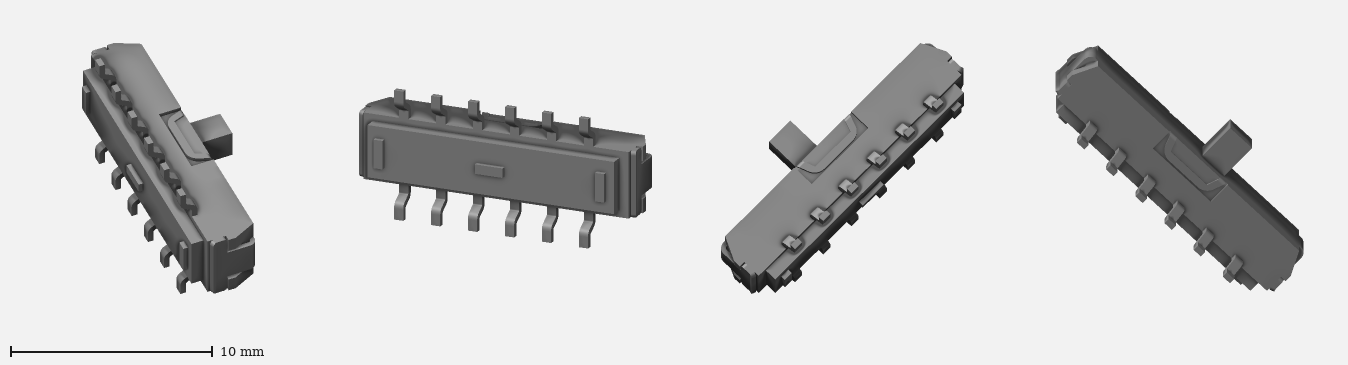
import math

import cadquery as cq


CASE_LENGTH = 15.0
CASE_HEIGHT = 2.6
CASE_WIDTH = 3.5
END_STEP_DEPTH = 0.32
END_STEP_HEIGHT = 1.0
CHAMFER_START_HEIGHT = 1.38
CHAMFER_LENGTH = 0.6
TAB_SLOT_WIDTH = 2.0

BASE_LENGTH = 13.35
BASE_WIDTH = 2.75
BASE_HEIGHT = 0.65
PEG_HEIGHT = 0.25
PEG_LONG = 1.5
PEG_SHORT = 0.5
END_PEG_X = 6.0

KNOB_SIZE = 1.5
KNOB_CENTER_X = -1.0
KNOB_HEIGHT = 2.0

PIN_COUNT = 6
PIN_PITCH = 2.0
PIN_WIDTH = 0.5
PIN_THICKNESS = 0.3
PIN_BEND_RADIUS = 0.1
PIN_BEND_START_Z = 2.15
PIN_BEND_ANGLE = math.radians(60)
PIN_DROP = 0.62
PIN_SPAN = 6.8

SHEET = 0.25
LIP_START_HEIGHT = 0.37
LIP_ANGLE = math.radians(20)
PLATE_TOP_HEIGHT = 0.97
PLATE_CORNER_RADIUS = 0.2
TAB_WIDTH = 1.65
TAB_BEND_RADIUS = 0.4

RECESS_LENGTH = 4.0
RECESS_HEIGHT = 1.2
RECESS_DEPTH = 0.2
FLAP_TOP_LENGTH = 3.76
FLAP_HEIGHT = 1.1
FLAP_SIDE_ANGLE = math.radians(20)
FLAP_CORNER_RADIUS = 0.7
FLAP_EDGE_RADIUS = 0.19
WINDOW_TOP_LENGTH = 3.0
WINDOW_HEIGHT = 0.7
WINDOW_DEPTH = 0.1

HALF_LENGTH = CASE_LENGTH / 2
HALF_WIDTH = CASE_WIDTH / 2
CASE_END_X = HALF_LENGTH - END_STEP_DEPTH
CHAMFER_TOP_X = HALF_LENGTH - CHAMFER_LENGTH


def block(x_range, y_range, z_width):
    """Box between two X and two Y limits, centred on Z = 0."""
    length = x_range[1] - x_range[0]
    height = y_range[1] - y_range[0]
    solid = cq.Workplane("XY").box(length, height, z_width, centered=(False, False, True))
    return solid.translate((x_range[0], y_range[0], 0))


def centered_block(center_x, length, y_range, z_width):
    return block((center_x - length / 2, center_x + length / 2), y_range, z_width)


def both_ends(shape):
    """The shape together with its mirror image at the other X end."""
    return shape.union(shape.mirror("YZ"))


def both_sides(shape):
    """The shape together with its mirror image on the other Z side."""
    return shape.union(shape.mirror("XY"))


def make_case():
    half_outline = [
        (0, 0),
        (CASE_END_X, 0),
        (CASE_END_X, END_STEP_HEIGHT),
        (HALF_LENGTH, END_STEP_HEIGHT),
        (HALF_LENGTH, CHAMFER_START_HEIGHT),
        (CHAMFER_TOP_X, CASE_HEIGHT),
        (0, CASE_HEIGHT),
    ]
    half = cq.Workplane("XY").polyline(half_outline).close().extrude(HALF_WIDTH, both=True)
    tab_slot = block((CASE_END_X, HALF_LENGTH), (END_STEP_HEIGHT, CASE_HEIGHT), TAB_SLOT_WIDTH)
    return both_ends(half.cut(tab_slot))


def make_base():
    base = centered_block(0, BASE_LENGTH, (-BASE_HEIGHT, 0), BASE_WIDTH)
    peg_range = (-BASE_HEIGHT - PEG_HEIGHT, -BASE_HEIGHT)
    center_peg = centered_block(0, PEG_LONG, peg_range, PEG_SHORT)
    end_peg = centered_block(END_PEG_X, PEG_SHORT, peg_range, PEG_LONG)
    return base.union(center_peg).union(both_ends(end_peg))


def make_knob():
    return centered_block(KNOB_CENTER_X, KNOB_SIZE, (CASE_HEIGHT, CASE_HEIGHT + KNOB_HEIGHT), KNOB_SIZE)


def make_pin(center_x):
    """Gull-wing terminal on the +Z side; the shank lies on the case bottom plane."""
    outer_radius = PIN_BEND_RADIUS + PIN_THICKNESS
    middle_radius = PIN_BEND_RADIUS + PIN_THICKNESS / 2
    slope_drop = PIN_DROP - 2 * middle_radius * (1 - math.cos(PIN_BEND_ANGLE))
    slope_run = slope_drop / math.tan(PIN_BEND_ANGLE)
    foot_z = PIN_BEND_START_Z + 2 * middle_radius * math.sin(PIN_BEND_ANGLE) + slope_run
    tip_z = PIN_SPAN / 2
    first_center = (PIN_BEND_START_Z, -PIN_BEND_RADIUS)
    second_center = (foot_z, PIN_THICKNESS + PIN_BEND_RADIUS - PIN_DROP)

    def first_bend(radius, angle):
        return (first_center[0] + radius * math.sin(angle), first_center[1] + radius * math.cos(angle))

    def second_bend(radius, angle):
        return (second_center[0] - radius * math.sin(angle), second_center[1] - radius * math.cos(angle))

    full = PIN_BEND_ANGLE
    half = PIN_BEND_ANGLE / 2
    profile = (
        cq.Workplane(cq.Plane(origin=(center_x, 0, 0), xDir=(0, 0, 1), normal=(-1, 0, 0)))
        .moveTo(HALF_WIDTH, 0)
        .lineTo(*first_bend(PIN_BEND_RADIUS, 0))
        .threePointArc(first_bend(PIN_BEND_RADIUS, half), first_bend(PIN_BEND_RADIUS, full))
        .lineTo(*second_bend(outer_radius, full))
        .threePointArc(second_bend(outer_radius, half), second_bend(outer_radius, 0))
        .lineTo(tip_z, -PIN_DROP)
        .lineTo(tip_z, PIN_THICKNESS - PIN_DROP)
        .lineTo(*second_bend(PIN_BEND_RADIUS, 0))
        .threePointArc(second_bend(PIN_BEND_RADIUS, half), second_bend(PIN_BEND_RADIUS, full))
        .lineTo(*first_bend(outer_radius, full))
        .threePointArc(first_bend(outer_radius, half), first_bend(outer_radius, 0))
        .lineTo(HALF_WIDTH, PIN_THICKNESS)
        .close()
    )
    return profile.extrude(PIN_WIDTH / 2, both=True)


def make_end_plate():
    """Full-width cover plate on the +X end, with a lip flared outward at its lower edge."""
    outer_x = CASE_END_X + SHEET
    lip_drop = (HALF_LENGTH - outer_x) / math.tan(LIP_ANGLE)
    lip_tip = (HALF_LENGTH, LIP_START_HEIGHT - lip_drop)
    edge_x = -SHEET * math.cos(LIP_ANGLE)
    edge_y = -SHEET * math.sin(LIP_ANGLE)
    outline = [
        (outer_x, PLATE_TOP_HEIGHT),
        (outer_x, LIP_START_HEIGHT),
        lip_tip,
        (lip_tip[0] + edge_x, lip_tip[1] + edge_y),
        (CASE_END_X, LIP_START_HEIGHT - SHEET * math.tan(LIP_ANGLE / 2)),
        (CASE_END_X, PLATE_TOP_HEIGHT),
    ]
    plate = cq.Workplane("XY").polyline(outline).close().extrude(HALF_WIDTH, both=True)
    top_corners = cq.selectors.ParallelDirSelector(cq.Vector(1, 0, 0))
    lip_corners = cq.selectors.ParallelDirSelector(cq.Vector(edge_x, edge_y, 0))
    return plate.edges(top_corners + lip_corners).fillet(PLATE_CORNER_RADIUS)


def make_end_tab():
    """Narrow tab that rises from the end plate and bends over onto the case top."""
    outer_x = CASE_END_X + SHEET
    tab_tip_x = CHAMFER_TOP_X - SHEET
    inner_radius = TAB_BEND_RADIUS - SHEET
    center_x = outer_x - TAB_BEND_RADIUS
    center_y = CASE_HEIGHT - TAB_BEND_RADIUS
    diagonal = math.cos(math.radians(45))
    profile = (
        cq.Workplane("XY")
        .moveTo(outer_x, LIP_START_HEIGHT)
        .lineTo(outer_x, center_y)
        .threePointArc(
            (center_x + TAB_BEND_RADIUS * diagonal, center_y + TAB_BEND_RADIUS * diagonal),
            (center_x, CASE_HEIGHT),
        )
        .lineTo(tab_tip_x, CASE_HEIGHT)
        .lineTo(tab_tip_x, CASE_HEIGHT - SHEET)
        .lineTo(center_x, CASE_HEIGHT - SHEET)
        .threePointArc(
            (center_x + inner_radius * diagonal, center_y + inner_radius * diagonal),
            (CASE_END_X, center_y),
        )
        .lineTo(CASE_END_X, LIP_START_HEIGHT)
        .close()
    )
    return profile.extrude(TAB_WIDTH / 2, both=True)


def trapezoid_prism(top_length, height, bottom_z, thickness):
    """Prism hanging from the case top edge whose sides lean inward going down."""
    half_top = top_length / 2
    half_bottom = half_top - height * math.tan(FLAP_SIDE_ANGLE)
    low_y = CASE_HEIGHT - height
    outline = [
        (-half_top, CASE_HEIGHT),
        (-half_bottom, low_y),
        (half_bottom, low_y),
        (half_top, CASE_HEIGHT),
    ]
    return cq.Workplane("XY").workplane(offset=bottom_z).polyline(outline).close().extrude(thickness)


def make_recess():
    recess = centered_block(0, RECESS_LENGTH, (CASE_HEIGHT - RECESS_HEIGHT, CASE_HEIGHT), RECESS_DEPTH)
    return recess.translate((0, 0, HALF_WIDTH - RECESS_DEPTH / 2))


def make_flap():
    """Cover flap flush with the case side; its window shows a slightly lower floor."""
    floor_z = HALF_WIDTH - RECESS_DEPTH
    flap = trapezoid_prism(FLAP_TOP_LENGTH, FLAP_HEIGHT, floor_z, RECESS_DEPTH)
    flap = flap.edges("|Z and <Y").fillet(FLAP_CORNER_RADIUS)
    flap = flap.edges(">Y and >Z").fillet(FLAP_EDGE_RADIUS)
    window = trapezoid_prism(WINDOW_TOP_LENGTH, WINDOW_HEIGHT, floor_z, RECESS_DEPTH)
    window_floor = trapezoid_prism(WINDOW_TOP_LENGTH, WINDOW_HEIGHT, floor_z, RECESS_DEPTH - WINDOW_DEPTH)
    return flap.cut(window).union(window_floor)


result = make_case().cut(both_sides(make_recess()))
result = result.union(both_sides(make_flap()))
result = result.union(make_base()).union(make_knob())
result = result.union(both_ends(make_end_plate().union(make_end_tab())))
for index in range(PIN_COUNT):
    pin_x = (index - (PIN_COUNT - 1) / 2) * PIN_PITCH
    result = result.union(both_sides(make_pin(pin_x)))